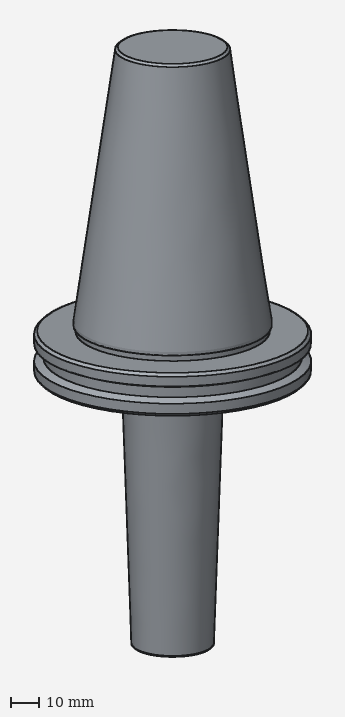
import cadquery as cq

total_length = 220.8
gauge_z = 119.5
flange_top_z = 116.0
flange_bottom_z = 100.0
taper_rim_height = 1.3

gauge_radius = 35.0
taper_slope = 7 / 48
taper_end_radius = gauge_radius - taper_slope * (total_length - gauge_z)
neck_radius = 34.2
end_chamfer = 0.9

flange_diameter = 97.5
flange_radius = flange_diameter / 2
flange_chamfer = 1.0
groove_radius = 45.5
groove_top_z = 110.0
groove_bottom_z = 106.2
groove_flank_height = 1.3

shank_root_radius = 17.9
shank_end_radius = 14.5
shank_chamfer = 0.7
root_fillet = 4.9


def make_taper():
    """Cone with a chamfered small end and a short rim over a relieved neck."""
    return (
        cq.Workplane("XZ")
        .moveTo(0, flange_top_z)
        .lineTo(neck_radius, flange_top_z)
        .lineTo(neck_radius, gauge_z - taper_rim_height)
        .lineTo(gauge_radius, gauge_z - taper_rim_height)
        .lineTo(gauge_radius, gauge_z)
        .lineTo(taper_end_radius + taper_slope * end_chamfer, total_length - end_chamfer)
        .lineTo(taper_end_radius - end_chamfer, total_length)
        .lineTo(0, total_length)
        .close()
        .revolve(360, (0, 0, 0), (0, 1, 0))
    )


def make_flange():
    """Disc with chamfered edges and a groove with sloping flanks."""
    face_radius = flange_radius - flange_chamfer
    return (
        cq.Workplane("XZ")
        .moveTo(0, flange_bottom_z)
        .lineTo(face_radius, flange_bottom_z)
        .lineTo(flange_radius, flange_bottom_z + flange_chamfer)
        .lineTo(flange_radius, groove_bottom_z - groove_flank_height)
        .lineTo(groove_radius, groove_bottom_z)
        .lineTo(groove_radius, groove_top_z)
        .lineTo(flange_radius, groove_top_z + groove_flank_height)
        .lineTo(flange_radius, flange_top_z - flange_chamfer)
        .lineTo(face_radius, flange_top_z)
        .lineTo(0, flange_top_z)
        .close()
        .revolve(360, (0, 0, 0), (0, 1, 0))
    )


def make_shank():
    """Slim cone with a chamfered tip and a concave fillet at its root."""
    fillet_reach = root_fillet * (1 - 0.5 ** 0.5)
    return (
        cq.Workplane("XZ")
        .lineTo(shank_end_radius - shank_chamfer, 0)
        .lineTo(shank_end_radius, shank_chamfer)
        .lineTo(shank_root_radius, flange_bottom_z - root_fillet)
        .threePointArc(
            (shank_root_radius + fillet_reach, flange_bottom_z - fillet_reach),
            (shank_root_radius + root_fillet, flange_bottom_z),
        )
        .lineTo(0, flange_bottom_z)
        .close()
        .revolve(360, (0, 0, 0), (0, 1, 0))
    )


result = make_taper().union(make_flange()).union(make_shank())